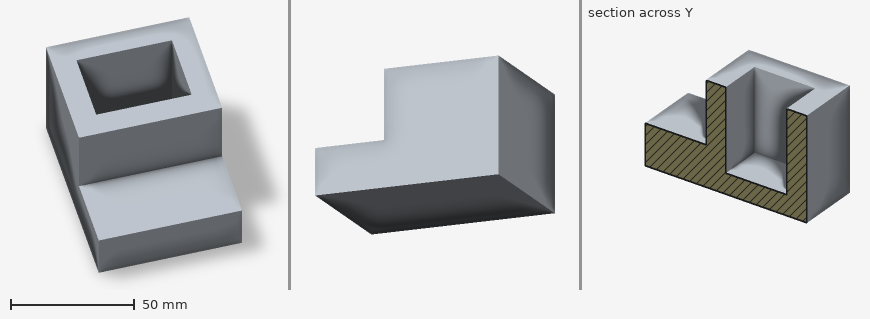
import cadquery as cq

length = 80.0
width = 60.0
height = 50.0

block_length = 50.0
step_height = 20.0
wall = 10.0

pocket_length = block_length - 2 * wall
pocket_width = width - 2 * wall
pocket_depth = height - wall


def corner_box(x_size, y_size, z_size):
    """Box with its lowest corner at the origin."""
    return cq.Workplane("XY").box(x_size, y_size, z_size, centered=False)


step = corner_box(length, width, step_height)
block = corner_box(block_length, width, height)
body = block.union(step)

pocket = corner_box(pocket_length, pocket_width, pocket_depth).translate((wall, wall, wall))

result = body.cut(pocket)